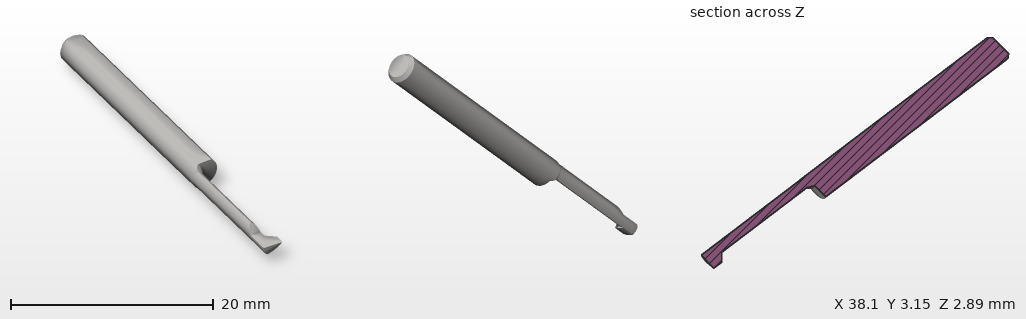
import cadquery as cq

total_length = 38.1
shank_diameter = 3.15
shank_radius = shank_diameter / 2
shank_length = 24.38
flat_height = 1.315
rear_chamfer_length = 0.4
rear_chamfer_depth = 0.38

neck_start = 25.05
neck_half_height = 1.0
neck_ridge_y = -1.05
neck_outer_y = -1.55
neck_inner_y = -0.4

root_half_height = 1.6
root_ridge_y = -1.0
root_outer_y = -1.65
root_inner_y = -0.08

face_height = 0.057
face_slope_start = 34.75
face_slope_end = 35.58
head_start = 36.25
head_shoulder = 37.1
head_width_y = 0.57
nose_chamfer = 0.15
end_setback = 0.1
end_relief = 0.23
side_arc_y = -0.2
side_arc_z = -0.65


def lens(plane, ridge_y, outer_y, inner_y, half_height):
    """Closed two-arc section on a YZ plane."""
    return (
        plane.moveTo(ridge_y, -half_height)
        .threePointArc((inner_y, 0), (ridge_y, half_height))
        .threePointArc((outer_y, 0), (ridge_y, -half_height))
        .close()
    )


def section_plane(x):
    return cq.Workplane("YZ", origin=(x, 0, 0))


def make_cylinder(length):
    return section_plane(0).circle(shank_radius).extrude(length)


def make_shank():
    profile = [
        (0, 0),
        (0, shank_radius - rear_chamfer_depth),
        (rear_chamfer_length, shank_radius),
        (shank_length, shank_radius),
        (shank_length, 0),
    ]
    return cq.Workplane("XY").polyline(profile).close().revolve(360, (0, 0, 0), (1, 0, 0))


def cut_flat(body):
    above_flat = (
        cq.Workplane("XY", origin=(0, 0, flat_height))
        .rect(2 * total_length, 2 * shank_diameter)
        .extrude(shank_diameter)
    )
    return body.cut(above_flat)


def make_transition():
    root = lens(section_plane(shank_length), root_ridge_y, root_outer_y, root_inner_y, root_half_height)
    blend = lens(
        root.workplane(offset=neck_start - shank_length),
        neck_ridge_y, neck_outer_y, neck_inner_y, neck_half_height,
    ).loft(ruled=True)
    return blend.intersect(make_cylinder(total_length))


def make_neck():
    section = lens(section_plane(neck_start), neck_ridge_y, neck_outer_y, neck_inner_y, neck_half_height)
    return section.extrude(head_start - neck_start)


def make_head():
    """Cutting head: its plan outline trimmed to a rounded underside with clearance."""
    outline = [
        (head_start, neck_outer_y),
        (head_start, neck_inner_y),
        (head_shoulder, head_width_y),
        (total_length - nose_chamfer, head_width_y),
        (total_length, head_width_y - nose_chamfer),
        (total_length - end_setback, neck_outer_y),
    ]
    plan = (
        cq.Workplane("XY", origin=(0, 0, -shank_radius))
        .polyline(outline)
        .close()
        .extrude(shank_radius + face_height)
    )
    underside = (
        section_plane(head_start)
        .moveTo(neck_ridge_y, neck_half_height)
        .threePointArc((neck_outer_y, 0), (neck_ridge_y, -neck_half_height))
        .threePointArc((side_arc_y, side_arc_z), (head_width_y, face_height))
        .lineTo(head_width_y, neck_half_height)
        .close()
        .extrude(total_length - head_start)
    )
    return plan.intersect(underside)


def cut_along_y(body, profile):
    cutter = cq.Workplane("XZ").polyline(profile).close().extrude(shank_diameter, both=True)
    return body.cut(cutter)


def cut_rake_face(body):
    """Remove the top of the neck down to the cutting face, with a sloped run-out."""
    return cut_along_y(body, [
        (face_slope_start, neck_half_height),
        (face_slope_end, face_height),
        (total_length, face_height),
        (total_length, neck_half_height),
    ])


def cut_end_relief(body):
    """Lean the end face back below the cutting edge."""
    return cut_along_y(body, [
        (total_length, face_height),
        (total_length - end_relief, -neck_half_height),
        (total_length, -neck_half_height),
    ])


tool = make_shank().union(make_transition())
tool = cut_flat(tool)
tip = cut_rake_face(make_neck()).union(make_head())
result = tool.union(cut_end_relief(tip))